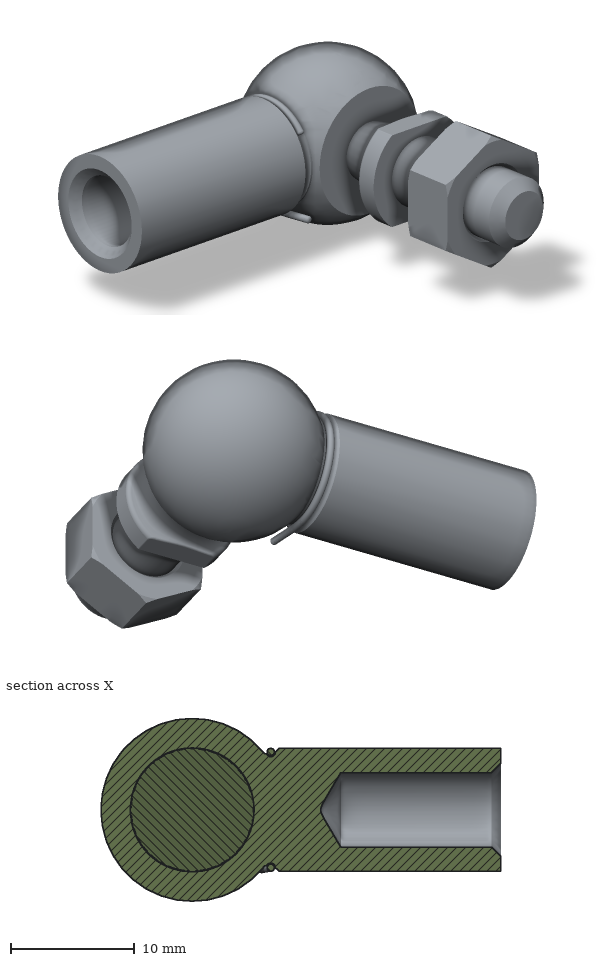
import cadquery as cq
import math


head_radius = 7.4
sleeve_radius = 4.995
sleeve_end = 32.35 - head_radius
bore_radius = 3.0
bore_mouth_radius = 3.78
bore_mouth_depth = bore_mouth_radius - bore_radius
bore_depth = 12.95
drill_point_angle = 118.0
collar_radius = 4.55
groove_radius = 0.35
groove_centre_radius = 4.7
groove_offset = 6.35
sleeve_start = 7.02

ball_radius = 4.995
neck_radius = 2.52
neck_end_radius = 2.98
neck_end = 7.57
flange_start = 8.95
flange_end = 10.93
flange_radius = 4.995
flange_half_flats = 4.0
flange_rounding = 0.4
flat_rounding = 0.15
shank_radius = bore_radius
stud_end = 30.85 - head_radius
shank_chamfer = 0.95

nut_start = 15.05
nut_length = 4.72
nut_across_flats = 10.0
nut_across_corners = nut_across_flats / math.cos(math.radians(30))
nut_face_radius = 5.35
nut_chamfer_angle = 30.0
nut_countersink = 0.32

wire_radius = 0.307
wire_end_rounding = 0.2
clip_radius = groove_centre_radius
clip_end_angle = 37.0
arm_end_x = 3.98
arm_end_y = -5.55
arm_end_z = -4.82


def make_housing():
    """Spherical head, cut flat where the stud enters, with a bored sleeve."""
    flat_x = sleeve_radius
    head = cq.Workplane("XY").sphere(head_radius)
    head = head.intersect(
        cq.Workplane("XY").box(2 * head_radius, 2 * head_radius, 2 * head_radius)
        .translate((flat_x - head_radius, 0, 0))
    )
    collar = cq.Workplane("XZ").circle(collar_radius).extrude(groove_offset)
    sleeve = (
        cq.Workplane("XY")
        .moveTo(0, -groove_offset)
        .lineTo(groove_centre_radius, -groove_offset)
        .lineTo(groove_centre_radius, -groove_offset - groove_radius)
        .lineTo(sleeve_radius, -sleeve_start)
        .lineTo(sleeve_radius, -sleeve_end)
        .lineTo(0, -sleeve_end)
        .close()
        .revolve(360, (0, 0), (0, 1))
    )
    groove = (
        cq.Workplane("XY")
        .center(groove_centre_radius, -groove_offset)
        .circle(groove_radius)
        .revolve(360, (-groove_centre_radius, 0), (-groove_centre_radius, 1))
    )
    tip_depth = bore_depth + bore_radius / math.tan(math.radians(drill_point_angle / 2))
    bore = (
        cq.Workplane("XY")
        .moveTo(0, -sleeve_end)
        .lineTo(bore_mouth_radius, -sleeve_end)
        .lineTo(bore_radius, -sleeve_end + bore_mouth_depth)
        .lineTo(bore_radius, -sleeve_end + bore_depth)
        .lineTo(0, -sleeve_end + tip_depth)
        .close()
        .revolve(360, (0, 0), (0, 1))
    )
    socket = cq.Workplane("XY").sphere(ball_radius)
    neck_hole = cq.Workplane("YZ").circle(neck_radius).extrude(flat_x)
    return head.union(collar).union(sleeve).cut(groove).cut(bore).cut(socket).cut(neck_hole)


def make_stud():
    """Ball, flared neck, flange with two wrench flats and chamfered shank."""
    ball_neck_x = math.sqrt(ball_radius**2 - neck_radius**2)
    flange_corner = flange_radius - flange_rounding
    rounding_middle = flange_rounding * (1 - math.sqrt(0.5))
    profile = (
        cq.Workplane("XY")
        .moveTo(-ball_radius, 0)
        .threePointArc((0, ball_radius), (ball_neck_x, neck_radius))
        .lineTo(sleeve_radius, neck_radius)
        .lineTo(neck_end, neck_end_radius)
        .tangentArcPoint((flange_start, flange_corner), relative=False)
        .threePointArc(
            (flange_start + rounding_middle, flange_radius - rounding_middle),
            (flange_start + flange_rounding, flange_radius),
        )
        .lineTo(flange_end, flange_radius)
        .lineTo(flange_end, shank_radius)
        .lineTo(stud_end - shank_chamfer, shank_radius)
        .lineTo(stud_end, shank_radius - shank_chamfer)
        .lineTo(stud_end, 0)
        .close()
    )
    stud = profile.revolve(360, (0, 0), (1, 0))
    flat_depth = flange_radius - flange_half_flats
    for side in (-1, 1):
        flat_x = (sleeve_radius + flange_end) / 2
        flat_z = side * (flange_half_flats + flat_depth / 2)
        flat = cq.Workplane("XY").box(flange_end - sleeve_radius, 2 * flange_radius, flat_depth)
        flat = flat.translate((flat_x, 0, flat_z))
        stud = stud.cut(flat)
    front_edges = cq.selectors.BoxSelector(
        (neck_end, -flange_radius, -flange_radius),
        (flange_start + flange_rounding, flange_radius, flange_radius),
    )
    return stud.faces("|Z").edges(front_edges).fillet(flat_rounding)


def make_nut():
    """Hexagon nut with corners up and down, chamfered on both faces."""
    corner_radius = nut_across_corners / 2
    nut_end = nut_start + nut_length
    chamfer = (corner_radius - nut_face_radius) * math.tan(math.radians(nut_chamfer_angle))
    hexagon = (
        cq.Workplane("YZ", origin=(nut_start, 0, 0))
        .transformed(rotate=(0, 0, 90))
        .polygon(6, nut_across_corners)
        .extrude(nut_length)
    )
    turned = (
        cq.Workplane("XY")
        .moveTo(nut_start, shank_radius + nut_countersink)
        .lineTo(nut_start, nut_face_radius)
        .lineTo(nut_start + chamfer, corner_radius)
        .lineTo(nut_end - chamfer, corner_radius)
        .lineTo(nut_end, nut_face_radius)
        .lineTo(nut_end, shank_radius + nut_countersink)
        .lineTo(nut_end - nut_countersink, shank_radius)
        .lineTo(nut_start + nut_countersink, shank_radius)
        .close()
        .revolve(360, (0, 0), (1, 0))
    )
    return hexagon.intersect(turned)


def make_clip():
    """Open wire ring whose lower end continues as a straight arm beside the head."""
    ring = (
        cq.Workplane("XY")
        .center(clip_radius, -groove_offset)
        .circle(wire_radius)
        .revolve(270 - clip_end_angle, (-clip_radius, 0), (-clip_radius, -1))
        .rotate((0, 0, 0), (0, 1, 0), -clip_end_angle)
    )
    ring_end = cq.Vector(0, -groove_offset, -clip_radius)
    arm_end = cq.Vector(arm_end_x, arm_end_y, arm_end_z)
    arm_path = cq.Edge.makeSpline([ring_end, arm_end], tangents=[cq.Vector(1, 0, 0), arm_end - ring_end])
    arm = (
        cq.Workplane("YZ", origin=ring_end.toTuple())
        .circle(wire_radius)
        .sweep(cq.Workplane(obj=cq.Wire.assembleEdges([arm_path])))
    )
    free_ends = cq.selectors.BoxSelector(
        (clip_radius / 2, -head_radius, -head_radius), (head_radius, 0, head_radius)
    )
    return ring.union(arm).faces("%PLANE").faces(free_ends).edges().fillet(wire_end_rounding)


housing = make_housing()
stud = make_stud()
nut = make_nut()
clip = make_clip()

result = cq.Compound.makeCompound([body.solids().val() for body in (housing, stud, nut, clip)])